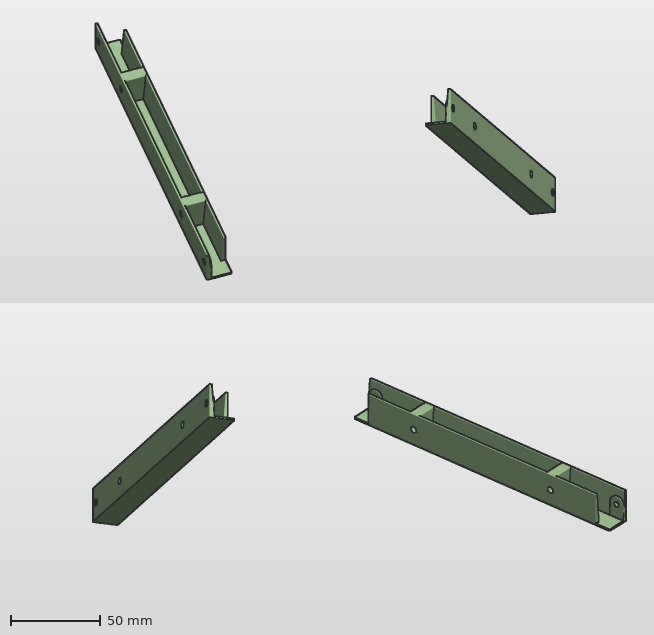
import cadquery as cq

length = 186.5
width = 15.0
height = 20.0
floor_thickness = 1.1
corner_radius = 0.65

wall_top = 1.5
wall_taper = 1.45
back_wall_inset = 10.0
edge_round = 0.4

block_spacing = 100.0
block_width = 7.0
block_hole_diameter = 4.0

end_hole_spacing = 176.5
end_hole_diameter = 3.2
end_hole_chamfer = 0.4

wall_base = wall_top + wall_taper
pad_thickness = wall_base
hole_height = height / 2
front_face = -width / 2
pad_radius = (length - end_hole_spacing) / 2


def make_wall(wall_length, side, rounded_edges):
    """Tapered wall with a vertical outer face; side is -1 for front and +1 for back."""
    outer = side * width / 2
    profile = [
        (outer, 0),
        (outer, height),
        (outer - side * wall_top, height),
        (outer - side * wall_base, floor_thickness),
        (outer - side * wall_base, 0),
    ]
    wall = cq.Workplane("YZ").polyline(profile).close().extrude(wall_length / 2, both=True)
    return wall.edges(rounded_edges).fillet(edge_round)


def make_envelope():
    """Outer box with rounded vertical corners, used to trim the floor and front wall."""
    box = cq.Workplane("XY").box(length, width, height, centered=(True, True, False))
    return box.edges("|Z").fillet(corner_radius)


def make_block(x):
    block_length = width - wall_top
    block = cq.Workplane("XY").box(block_width, block_length, height, centered=(True, True, False))
    block = block.edges("|Y and >Z").fillet(edge_round)
    return block.translate((x, 0, 0))


def along_y(x, y):
    """Workplane at hole height whose normal points from the front wall to the back wall."""
    return cq.Workplane(cq.Plane(origin=(x, y, hole_height), xDir=(1, 0, 0), normal=(0, 1, 0)))


def make_pad(x):
    """Arched pad behind the front wall, rising from the floor and rounded about the screw hole."""
    inside = front_face + wall_top / 2
    depth = pad_thickness - wall_top / 2
    pad = (
        along_y(x, inside)
        .moveTo(-pad_radius, hole_height)
        .lineTo(-pad_radius, 0)
        .threePointArc((0, -pad_radius), (pad_radius, 0))
        .lineTo(pad_radius, hole_height)
        .close()
        .extrude(depth)
    )
    return pad.faces(">Y").edges("not <Z").fillet(edge_round)


def make_end_hole(x):
    bore = along_y(x, front_face).circle(end_hole_diameter / 2).extrude(pad_thickness)
    mouth = along_y(x, front_face).circle(end_hole_diameter / 2 + end_hole_chamfer)
    mouth = mouth.workplane(offset=end_hole_chamfer).circle(end_hole_diameter / 2).loft(ruled=True)
    return bore.union(mouth)


end_hole_places = (-end_hole_spacing / 2, end_hole_spacing / 2)
block_places = (-block_spacing / 2, block_spacing / 2)

result = cq.Workplane("XY").box(length, width, floor_thickness, centered=(True, True, False))
result = result.union(make_wall(length, -1, ">Z"))
for hole_x in end_hole_places:
    result = result.union(make_pad(hole_x))
result = result.intersect(make_envelope())

back_wall_length = length - 2 * back_wall_inset
result = result.union(make_wall(back_wall_length, 1, "(>Z or <X or >X) and (not <Z)"))

for hole_x in end_hole_places:
    result = result.cut(make_end_hole(hole_x))

for block_x in block_places:
    result = result.union(make_block(block_x))
    result = result.cut(along_y(block_x, front_face).circle(block_hole_diameter / 2).extrude(width))